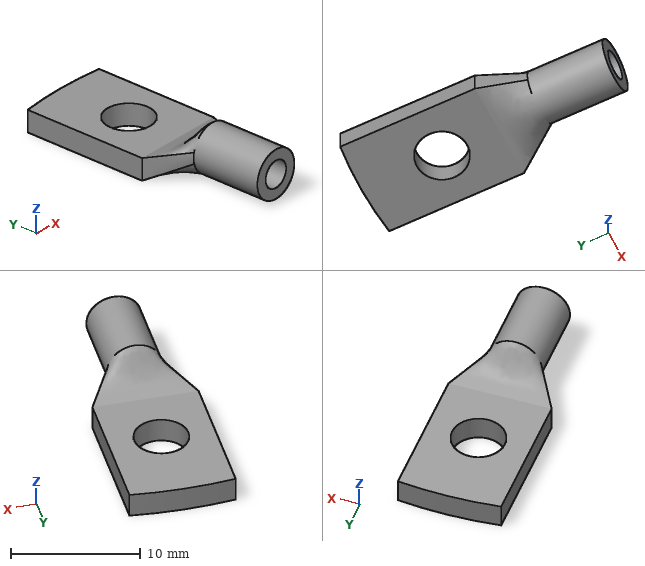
import cadquery as cq
import math

total_length = 21.97
barrel_length = 6.5
transition_length = 3.52

palm_width = 8.5
palm_thickness = 2.02
end_bulge = 0.26
stud_hole_diameter = 4.33
stud_hole_y = 15.0

total_height = 4.65
barrel_diameter = 4.42
bore_diameter = 2.44

upper_split_angle = 12
lower_split_angle = 15

hollow_depths = [0, 0.25, 0.57, 0.4, 0]

palm_start = barrel_length + transition_length
barrel_axis_z = total_height - barrel_diameter / 2


def xz_plane(y, z):
    """Section plane at a given height, with its normal along +Y and local x along -X."""
    return cq.Plane(origin=(0, y, z), xDir=(-1, 0, 0), normal=(0, 1, 0))


def make_palm():
    """Flat plate with a gently arched far end and a stud hole."""
    half_width = palm_width / 2
    corner_y = total_length - end_bulge
    plate = (
        cq.Workplane("XY")
        .moveTo(-half_width, palm_start)
        .lineTo(half_width, palm_start)
        .lineTo(half_width, corner_y)
        .threePointArc((0, total_length), (-half_width, corner_y))
        .close()
        .extrude(palm_thickness)
    )
    stud_hole = (
        cq.Workplane("XY")
        .center(0, stud_hole_y)
        .circle(stud_hole_diameter / 2)
        .extrude(palm_thickness)
    )
    return plate.cut(stud_hole)


def barrel_point(angle):
    """Point on the inner end of the barrel, at an angle above the +X direction."""
    radius = barrel_diameter / 2
    x = radius * math.cos(math.radians(angle))
    z = barrel_axis_z + radius * math.sin(math.radians(angle))
    return cq.Vector(x, barrel_length, z)


def transition_section(fraction, hollow_depth):
    """Closed wire at a fraction of the way from barrel to palm, with its top lowered by hollow_depth."""
    half_width = palm_width / 2
    angles = [
        upper_split_angle,
        90,
        180 - upper_split_angle,
        180 + (lower_split_angle - upper_split_angle) / 2,
        180 + lower_split_angle,
        270,
        360 - lower_split_angle,
        360 + (upper_split_angle - lower_split_angle) / 2,
    ]
    palm_outline = [
        (half_width, palm_thickness),
        (0, palm_thickness),
        (-half_width, palm_thickness),
        (-half_width, palm_thickness / 2),
        (-half_width, 0),
        (0, 0),
        (half_width, 0),
        (half_width, palm_thickness / 2),
    ]
    points = []
    for angle, (x, z) in zip(angles, palm_outline):
        start = barrel_point(angle)
        points.append(start + (cq.Vector(x, palm_start, z) - start) * fraction)
    points[1] -= cq.Vector(0, 0, hollow_depth)

    edges = []
    for i in range(0, len(points), 2):
        first, middle, last = points[i], points[i + 1], points[(i + 2) % len(points)]
        if fraction == 1:
            edges.append(cq.Edge.makeLine(first, last))
        else:
            edges.append(cq.Edge.makeThreePointArc(first, middle, last))
    return cq.Wire.assembleEdges(edges)


def make_transition():
    """Blend from the round barrel to the rectangular palm through evenly spaced sections."""
    last = len(hollow_depths) - 1
    sections = [transition_section(i / last, depth) for i, depth in enumerate(hollow_depths)]
    return cq.Workplane(cq.Solid.makeLoft(sections))


def make_barrel():
    """Cylinder along Y with a blind wire bore."""
    return (
        cq.Workplane(xz_plane(0, barrel_axis_z))
        .circle(barrel_diameter / 2)
        .circle(bore_diameter / 2)
        .extrude(barrel_length)
    )


result = make_palm().union(make_transition()).union(make_barrel())